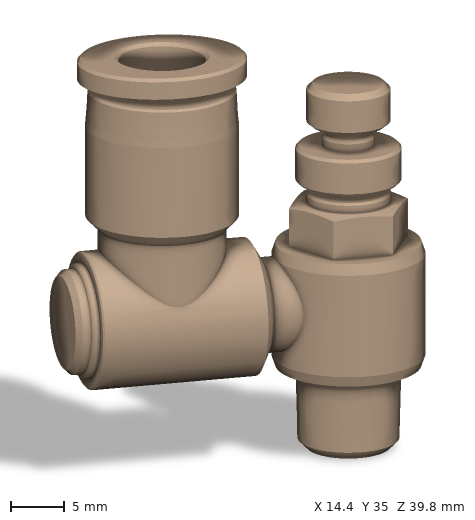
import cadquery as cq
import math

hub_radius = 7.2
hub_bottom = 8.0
hub_top = 20.0
hub_bevel_height = 1.05
hub_bevel_depth = 0.35

thread_top_radius = 4.98
thread_end_radius = 4.78
thread_chamfer = 0.85

hex_flats = 10.0
hex_top = 24.1
hex_chamfer_angle = 15
hex_top_face_radius = 4.45

collar_radius = 4.0
collar_top = 25.05
collar_chamfer = 0.2
stem_radius = 2.45
stem_top = 30.7
stem_chamfer = 0.3

nut_radius = 4.98
nut_bottom = 26.0
nut_top = 29.57
nut_chamfer = 0.28

knob_neck_radius = stem_radius - stem_chamfer
knob_radius = 3.95
knob_bottom = 31.52
knob_top = 35.62
knob_chamfer = 0.55
knob_lower_chamfer_height = 0.45

arm_height = 14.53
arm_neck_radius = 4.5
arm_cone_start = 8.45
arm_cone_end = 9.65
arm_radius = 6.53
arm_end = 25.67
arm_end_chamfer = 0.15

ring_radius = 5.45
ring_end = 26.43
plug_radius = 4.98
plug_end = 27.8
plug_chamfer = 0.55

port_distance = 18.1
port_neck_radius = 6.0
port_cone_bottom = 23.12
port_body_radius = 7.2
port_taper_start = 33.15
port_taper_end = 35.05
port_cap_radius = 7.05
port_cap_top_radius = 6.95
port_cap_top = 36.75
port_cap_chamfer = 0.2

sleeve_radius = 4.85
flange_bottom = 37.8
flange_top = 39.8
flange_half_width = 6.93
flange_half_length = 8.05
flange_chamfer = 0.28

bore_radius = 4.1
bore_chamfer = 0.3
bore_floor = port_cone_bottom


def turned(points):
    """Solid of revolution about Z from (radius, height) points, closed along the axis."""
    first_height = points[0][1]
    last_height = points[-1][1]
    outline = [(0, first_height)] + points + [(0, last_height)]
    return cq.Workplane("XZ").polyline(outline).close().revolve(360, (0, 0), (0, 1))


def make_hub():
    bevel_radius = hub_radius - hub_bevel_depth
    return turned([
        (thread_end_radius - thread_chamfer, 0),
        (thread_end_radius, thread_chamfer),
        (thread_top_radius, hub_bottom),
        (bevel_radius, hub_bottom),
        (hub_radius, hub_bottom + hub_bevel_height),
        (hub_radius, hub_top - hub_bevel_height),
        (bevel_radius, hub_top),
    ])


def make_hexagon():
    corner_radius = hex_flats / 2 / math.cos(math.radians(30))
    drop = (corner_radius - hex_top_face_radius) * math.tan(math.radians(hex_chamfer_angle))
    prism = (
        cq.Workplane("XY", origin=(0, 0, hub_top))
        .transformed(rotate=(0, 0, 90))
        .polygon(6, 2 * corner_radius)
        .extrude(hex_top - hub_top)
    )
    cone_limit = turned([
        (corner_radius, hub_top),
        (corner_radius, hex_top - drop),
        (hex_top_face_radius, hex_top),
    ])
    return prism.intersect(cone_limit)


def make_adjuster():
    return turned([
        (collar_radius, hub_top),
        (collar_radius, collar_top - collar_chamfer),
        (collar_radius - collar_chamfer, collar_top),
        (stem_radius, collar_top),
        (stem_radius, nut_bottom),
        (nut_radius - nut_chamfer, nut_bottom),
        (nut_radius, nut_bottom + nut_chamfer),
        (nut_radius, nut_top - nut_chamfer),
        (nut_radius - nut_chamfer, nut_top),
        (stem_radius, nut_top),
        (stem_radius, stem_top - stem_chamfer),
        (knob_neck_radius, stem_top),
        (knob_neck_radius, knob_bottom),
        (knob_radius - knob_chamfer, knob_bottom),
        (knob_radius, knob_bottom + knob_lower_chamfer_height),
        (knob_radius, knob_top - knob_chamfer),
        (knob_radius - knob_chamfer, knob_top),
    ])


def make_arm():
    """Arm and plug, turned about Z and then laid along -Y."""
    arm = turned([
        (arm_neck_radius, 0),
        (arm_neck_radius, arm_cone_start),
        (arm_radius, arm_cone_end),
        (arm_radius, arm_end - arm_end_chamfer),
        (arm_radius - arm_end_chamfer, arm_end),
    ])
    plug = turned([
        (plug_radius, arm_end),
        (plug_radius, plug_end - plug_chamfer),
        (plug_radius - plug_chamfer, plug_end),
    ])
    ring = (
        cq.Workplane("XY", origin=(0, 0, arm_end))
        .circle(ring_radius)
        .extrude(ring_end - arm_end)
        .faces(">Z")
        .edges()
        .fillet(ring_radius - plug_radius)
    )
    upright = arm.union(plug).union(ring)
    return upright.rotate((0, 0, 0), (1, 0, 0), 90).translate((0, 0, arm_height))


def make_port():
    cone_height = port_body_radius - port_neck_radius
    body = turned([
        (port_neck_radius, arm_height),
        (port_neck_radius, port_cone_bottom),
        (port_body_radius, port_cone_bottom + cone_height),
        (port_body_radius, port_taper_start),
        (port_cap_radius, port_taper_end),
        (port_cap_top_radius, port_cap_top - port_cap_chamfer),
        (port_cap_top_radius - port_cap_chamfer, port_cap_top),
        (sleeve_radius, port_cap_top),
        (sleeve_radius, flange_bottom),
    ])
    flange = (
        cq.Workplane("XY", origin=(0, 0, flange_bottom))
        .ellipse(flange_half_width, flange_half_length)
        .extrude(flange_top - flange_bottom)
        .faces(">Z")
        .edges()
        .chamfer(flange_chamfer)
    )
    return body.union(flange).translate((0, -port_distance, 0))


def make_bore():
    return turned([
        (bore_radius, bore_floor),
        (bore_radius, flange_top - bore_chamfer),
        (bore_radius + bore_chamfer, flange_top),
    ]).translate((0, -port_distance, 0))


result = (
    make_hub()
    .union(make_hexagon())
    .union(make_adjuster())
    .union(make_arm())
    .union(make_port())
    .cut(make_bore())
)